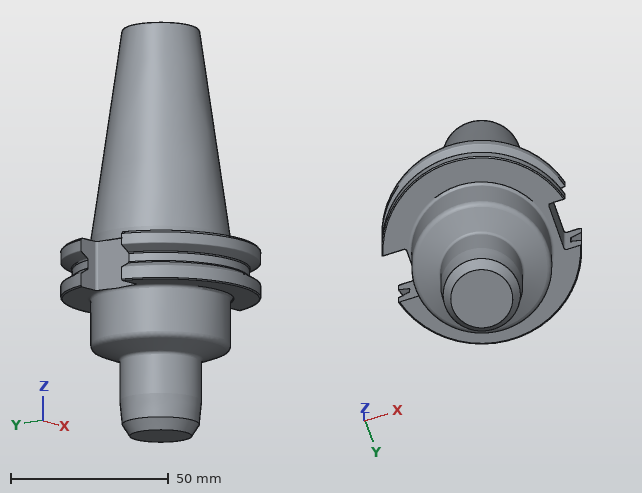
import cadquery as cq
import math


gauge_dia = 44.45
taper_length = 68.25
taper_ratio = 7 / 24
shank_end_fillet = 1.2

flange_dia = 63.5
flange_top = -3.175
flange_thickness = 15.875
flange_top_chamfer = 0.7
flange_bottom_chamfer = 0.4

groove_floor_dia = 56.36
groove_floor_width = 3.2
groove_center = flange_top - flange_thickness / 2
groove_flank_angle = 30
groove_edge_fillet = 0.5

slot_width = 16.38
slot_floor_left = 22.6
slot_floor_right = 25.0
slot_corner_radius = 0.8

body_dia = 44.45
body_root_fillet = 1.0
neck_dia = 26.0
nose_bottom = -63.5
shoulder_top = -35.5
shoulder_bottom = -39.0
shoulder_fillet = 2.0
neck_root_fillet = 1.0
neck_bottom = -52.3
nose_mid_height = -59.8
nose_mid_dia = 24.5
nose_tip_dia = 19.7

gauge_radius = gauge_dia / 2
flange_radius = flange_dia / 2
body_radius = body_dia / 2
neck_radius = neck_dia / 2
flange_bottom = flange_top - flange_thickness


def revolve_profile(points):
    """Turn a closed (radius, height) outline about the Z axis."""
    return cq.Workplane("XZ").polyline(points).close().revolve(360, (0, 0, 0), (0, 1, 0))


def circles_at(part, radius, height):
    """Select the circular edges of the given radius and height."""
    tolerance = 0.01
    reach = radius + tolerance
    box = cq.selectors.BoxSelector(
        (-reach, -reach, height - tolerance), (reach, reach, height + tolerance), boundingbox=True
    )
    edges = part.edges("%CIRCLE").edges(box)
    return edges.filter(lambda edge: abs(edge.radius() - radius) < tolerance)


def make_shank():
    end_radius = gauge_radius - taper_length * taper_ratio / 2
    shank = revolve_profile([
        (0, flange_top),
        (gauge_radius, flange_top),
        (gauge_radius, 0),
        (end_radius, taper_length),
        (0, taper_length),
    ])
    return shank.faces(">Z").edges().fillet(shank_end_fillet)


def make_flange():
    flange = cq.Workplane("XY").workplane(offset=flange_bottom).circle(flange_radius).extrude(flange_thickness)
    flange = flange.faces(">Z").edges().chamfer(flange_top_chamfer)
    return flange.faces("<Z").edges().chamfer(flange_bottom_chamfer)


def make_body():
    body = revolve_profile([
        (0, flange_bottom),
        (body_radius, flange_bottom),
        (body_radius, shoulder_top),
        (neck_radius, shoulder_bottom),
        (neck_radius, neck_bottom),
        (nose_mid_dia / 2, nose_mid_height),
        (nose_tip_dia / 2, nose_bottom),
        (0, nose_bottom),
    ])
    body = circles_at(body, body_radius, shoulder_top).fillet(shoulder_fillet)
    return circles_at(body, neck_radius, shoulder_bottom).fillet(neck_root_fillet)


def cut_groove(part):
    """Cut the gripper groove and round its floor corners and rims."""
    floor_radius = groove_floor_dia / 2
    half_floor = groove_floor_width / 2
    half_mouth = half_floor + (flange_radius - floor_radius) * math.tan(math.radians(groove_flank_angle))
    groove = revolve_profile([
        (floor_radius, groove_center - half_floor),
        (flange_radius, groove_center - half_mouth),
        (flange_radius, groove_center + half_mouth),
        (floor_radius, groove_center + half_floor),
    ])
    part = part.cut(groove)
    for side in (-1, 1):
        part = circles_at(part, floor_radius, groove_center + side * half_floor).fillet(groove_edge_fillet)
        part = circles_at(part, flange_radius, groove_center + side * half_mouth).fillet(groove_edge_fillet)
    return part


def make_slot(side, floor_distance):
    """Cutter for one drive slot, through the flange and its root fillet; side is -1 for -X, +1 for +X."""
    cut_length = flange_radius
    cut_height = flange_thickness + body_root_fillet
    slot = cq.Workplane("XY").box(cut_length, slot_width, cut_height)
    floor_edges = "|Z and <X" if side > 0 else "|Z and >X"
    slot = slot.edges(floor_edges).fillet(slot_corner_radius)
    center_x = side * (floor_distance + cut_length / 2)
    return slot.translate((center_x, 0, flange_top - cut_height / 2))


part = make_shank().union(make_flange()).union(make_body())
part = circles_at(part, body_radius, flange_bottom).fillet(body_root_fillet)
part = cut_groove(part)
part = part.cut(make_slot(-1, slot_floor_left))
result = part.cut(make_slot(1, slot_floor_right))